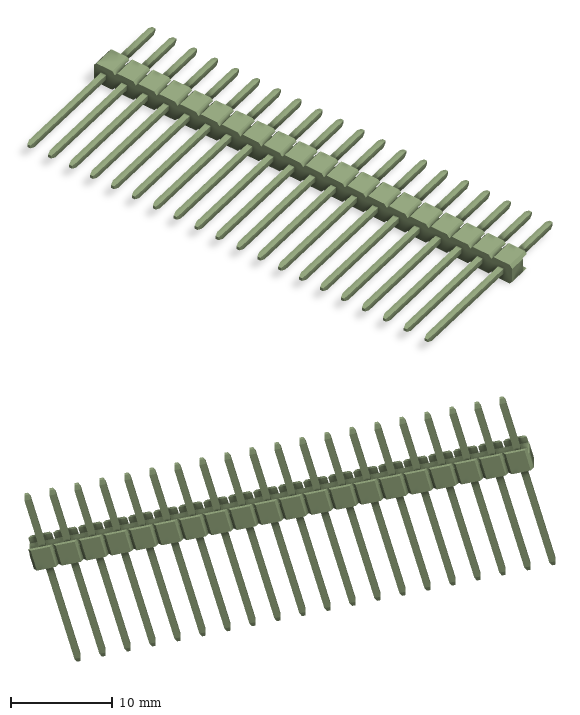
import cadquery as cq

PIN_COUNT = 20
PITCH = 2.55
HOUSING_LENGTH = PIN_COUNT * PITCH
HOUSING_DEPTH = 2.55
HOUSING_HEIGHT = 2.5
CHAMFER_WIDTH = 0.3
CHAMFER_HEIGHT = 0.38

CHANNEL_DEPTH = 0.7
LIP_THICKNESS = 0.3
CHANNEL_HEIGHT = HOUSING_HEIGHT - 2 * LIP_THICKNESS

PIN_HALF_WIDTH = 0.32
PIN_WIDTH = 2 * PIN_HALF_WIDTH
PIN_LENGTH = 21.1
PIN_FRONT_REACH = 12.6
PIN_SHIFT = -0.1
TIP_LENGTH = 0.5
TIP_WIDTH = 0.35


def cell_center(index):
    """X position of a cell, with the strip centred on the origin."""
    return (index + 0.5) * PITCH - HOUSING_LENGTH / 2


def housing_outline():
    """Closed XZ outline; the chamfers of neighbouring cells form V notches."""
    half_height = HOUSING_HEIGHT / 2
    side_z = half_height - CHAMFER_HEIGHT
    top_edge = [(-HOUSING_LENGTH / 2, side_z)]
    for index in range(PIN_COUNT):
        x = cell_center(index)
        flat_half = PITCH / 2 - CHAMFER_WIDTH
        top_edge.append((x - flat_half, half_height))
        top_edge.append((x + flat_half, half_height))
        top_edge.append((x + PITCH / 2, side_z))
    bottom_edge = [(x, -z) for x, z in reversed(top_edge)]
    return top_edge + bottom_edge


def make_housing():
    """Notched strip from y = 0 to its depth, with the channel in its +Y face."""
    strip = cq.Workplane("XZ").polyline(housing_outline()).close().extrude(-HOUSING_DEPTH)
    channel = (
        cq.Workplane("XY")
        .box(HOUSING_LENGTH, CHANNEL_DEPTH, CHANNEL_HEIGHT)
        .translate((0, HOUSING_DEPTH - CHANNEL_DEPTH / 2, 0))
    )
    return strip.cut(channel)


def make_pin():
    """Square pin along Y, centred on x = 0, with a tapered tip at each end."""
    shank_length = PIN_LENGTH - 2 * TIP_LENGTH
    pin = cq.Workplane("XY").box(PIN_WIDTH, shank_length, PIN_WIDTH)
    for face in ("<Y", ">Y"):
        tip = (
            pin.faces(face)
            .workplane(centerOption="CenterOfBoundBox")
            .rect(PIN_WIDTH, PIN_WIDTH)
            .workplane(offset=TIP_LENGTH)
            .rect(TIP_WIDTH, TIP_WIDTH)
            .loft(combine=False)
        )
        pin = pin.union(tip)
    return pin.translate((0, PIN_LENGTH / 2 - PIN_FRONT_REACH, 0))


def make_pin_row():
    """One pin per cell."""
    pin = make_pin().val()
    centers = [(cell_center(index) + PIN_SHIFT, 0) for index in range(PIN_COUNT)]
    return cq.Workplane("XY").pushPoints(centers).eachpoint(lambda place: pin.moved(place))


result = make_housing().union(make_pin_row())